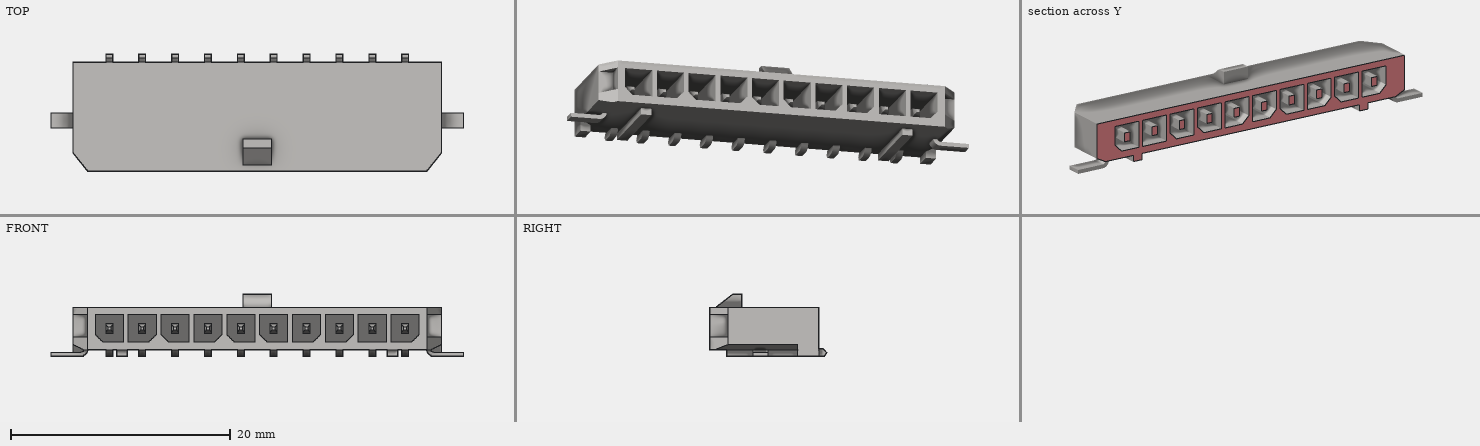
import cadquery as cq


total_length = 37.65
housing_length = 33.65
housing_depth = 9.98
housing_bottom = 0.6
housing_top = 4.5
half_length = housing_length / 2

corner_x = 1.35
corner_y = 1.7
notch_bottom = 1.77
notch_top = 3.8

edge_chamfer_width = 0.98
edge_chamfer_height = 0.5

contact_count = 10
contact_row_span = 27.0
contact_pitch = contact_row_span / (contact_count - 1)
contact_height = 2.55
cavity_width = 2.55
cavity_height = 2.5
cavity_depth = 7.55
key_chamfer = 0.68
left_keyed = (0, 2, 4, 5)
right_keyed = (1, 3, 6, 7, 9)

pin_width = 0.65
pin_height = 0.9
pin_bevel_length = 0.35
pin_beveled_height = 0.68
pin_tip_recess = 2.0
pin_tip_length = 0.6
pin_tip_width = 0.25

tail_thickness = 0.7
tail_overhang = 0.7
tail_bend_radius = 0.15
tail_leg_front = 8.3
tail_nose_height = 0.35
tail_nose_top = 0.35
tail_nose_bottom = 0.23

foot_width = edge_chamfer_width
foot_depth = 1.95
rib_width = 0.98
rib_offset = 4.0
rib_front = 1.55

tab_width = 1.4
tab_back_gap = 4.65
tab_thickness = 0.38
tab_bend_radius = 0.35
tab_inset = 1.4
tab_leg_top = 1.5

latch_width = 2.65
latch_height = 1.2
latch_back = 2.95
latch_crest = 2.1
latch_front = 0.55


def block(x_min, x_max, y_min, y_max, z_min, z_max):
    """Box given by its limits along each axis."""
    size = (x_max - x_min, y_max - y_min, z_max - z_min)
    return cq.Workplane("XY").box(*size, centered=False).translate((x_min, y_min, z_min))


def both_ends(left_solid):
    """A solid at the left end together with its mirror image at the right end."""
    return left_solid.union(left_solid.mirror("YZ"))


def make_housing():
    outline = [
        (-half_length, housing_depth),
        (-half_length, corner_y),
        (-half_length + corner_x, 0),
        (half_length - corner_x, 0),
        (half_length, corner_y),
        (half_length, housing_depth),
    ]
    height = housing_top - housing_bottom
    return cq.Workplane("XY").workplane(offset=housing_bottom).polyline(outline).close().extrude(height)


def make_corner_notch():
    return block(-half_length, -half_length + corner_x, 0, corner_y, notch_bottom, notch_top)


def make_edge_chamfer():
    profile = [
        (-half_length, housing_bottom),
        (-half_length + edge_chamfer_width, housing_bottom),
        (-half_length, housing_bottom + edge_chamfer_height),
    ]
    length = housing_depth - foot_depth
    return cq.Workplane("XZ").polyline(profile).close().extrude(-length)


def make_foot():
    y_min = housing_depth - foot_depth
    return block(-half_length, -half_length + foot_width, y_min, housing_depth, 0, housing_bottom)


def make_rib():
    x_min = -half_length + rib_offset
    return block(x_min, x_min + rib_width, rib_front, housing_depth, 0, housing_bottom)


def make_cavity(index):
    """Contact cavity with its polarising corner, if any, centred on x = 0."""
    half_width = cavity_width / 2
    floor = contact_height - cavity_height / 2
    cavity = block(-half_width, half_width, 0, cavity_depth, floor, floor + cavity_height)
    if index in left_keyed:
        cavity = cavity.edges("|Y and <X and <Z").chamfer(key_chamfer)
    if index in right_keyed:
        cavity = cavity.edges("|Y and >X and <Z").chamfer(key_chamfer)
    return cavity


def make_pin():
    """Contact pin: a shaft beveled above and below, then tapered on all sides to a blunt tip."""
    taper_start = pin_tip_recess + pin_tip_length
    shaft_start = taper_start + pin_bevel_length
    shaft_plane = cq.Workplane("XZ", origin=(0, shaft_start, contact_height))
    shaft = shaft_plane.rect(pin_width, pin_height).extrude(shaft_start - tail_leg_front)
    bevel = (
        shaft_plane.rect(pin_width, pin_height)
        .workplane(offset=pin_bevel_length)
        .rect(pin_width, pin_beveled_height)
        .loft()
    )
    tip = (
        cq.Workplane("XZ", origin=(0, taper_start, contact_height))
        .rect(pin_width, pin_beveled_height)
        .workplane(offset=pin_tip_length)
        .rect(pin_tip_width, pin_tip_width)
        .loft()
    )
    return shaft.union(bevel).union(tip)


def make_tail():
    """Solder tail: a leg that drops from the housing and bends back along the board."""
    outer_radius = tail_bend_radius + tail_thickness
    tip = housing_depth + tail_overhang
    leg_back = tail_leg_front + tail_thickness
    profile = (
        cq.Workplane("YZ", origin=(-pin_width / 2, 0, 0))
        .moveTo(tail_leg_front, contact_height)
        .lineTo(tail_leg_front, outer_radius)
        .radiusArc((tail_leg_front + outer_radius, 0), -outer_radius)
        .lineTo(tip - tail_nose_bottom, 0)
        .lineTo(tip, tail_nose_height)
        .lineTo(tip - tail_nose_top, tail_thickness)
        .lineTo(leg_back + tail_bend_radius, tail_thickness)
        .radiusArc((leg_back, outer_radius), tail_bend_radius)
        .lineTo(leg_back, contact_height)
        .close()
    )
    return profile.extrude(pin_width)


def make_tab():
    """Solder tab: a flat strip on the board, bent up into the housing."""
    outer_radius = tab_bend_radius + tab_thickness
    leg_inner = -half_length + tab_inset
    leg_outer = leg_inner - tab_thickness
    y_max = housing_depth - tab_back_gap
    profile = (
        cq.Workplane("XZ", origin=(0, y_max, 0))
        .moveTo(-total_length / 2, 0)
        .lineTo(leg_inner - outer_radius, 0)
        .radiusArc((leg_inner, outer_radius), -outer_radius)
        .lineTo(leg_inner, tab_leg_top)
        .lineTo(leg_outer, tab_leg_top)
        .lineTo(leg_outer, outer_radius)
        .radiusArc((leg_outer - tab_bend_radius, tab_thickness), tab_bend_radius)
        .lineTo(-total_length / 2, tab_thickness)
        .close()
    )
    return profile.extrude(tab_width)


def make_latch():
    crest = housing_top + latch_height
    profile = [
        (latch_front, housing_top),
        (latch_crest, crest),
        (latch_back, crest),
        (latch_back, housing_top),
    ]
    plane = cq.Workplane("YZ", origin=(-latch_width / 2, 0, 0))
    return plane.polyline(profile).close().extrude(latch_width)


result = make_housing()
result = result.cut(both_ends(make_corner_notch()))
result = result.cut(both_ends(make_edge_chamfer()))
for end_feature in (make_foot(), make_rib(), make_tab()):
    result = result.union(both_ends(end_feature))
result = result.union(make_latch())

contact = make_pin().union(make_tail())
for index in range(contact_count):
    position = (index * contact_pitch - contact_row_span / 2, 0, 0)
    result = result.cut(make_cavity(index).translate(position))
    result = result.union(contact.translate(position))